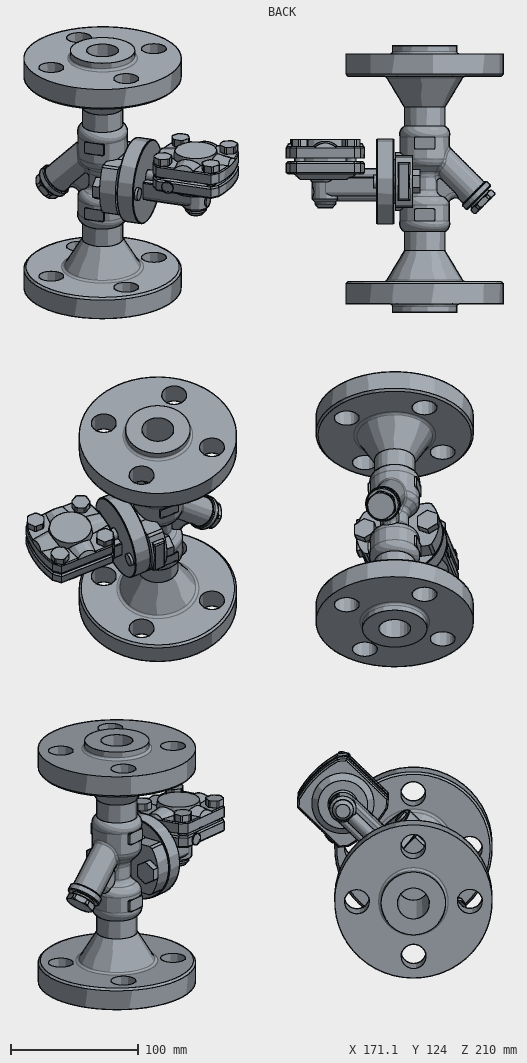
import cadquery as cq
import math


overall_height = 210
flange_dia = 124
raised_face_dia = 50.8
raised_face_height = 6.6
raised_face_fillet = 2
flange_thickness = 17.7
flange_chamfer = 1.7
bolt_circle_dia = 88.9
bolt_hole_dia = 19.5
bolt_hole_count = 4
hub_base_dia = 59.5
hub_base_fillet = 2.5
hub_top_z = 56.5
neck_dia = 32
bore_dia = 25

hex_turn = 30

body_dia = 39
body_end_z = 41.5
body_end_round_z = 33.2
body_end_round_mid = (19.2, 38)
waist_dia = 22
upper_round_start_z = 15.7
upper_round_end = (17.2, 10.2)
upper_cone_end = (13, 6)
upper_waist_z = 1.5
lower_waist_z = -8.7
lower_curve_joint = (14.6, -13.7)
lower_curve_end_z = -20.5
pad_width = 16.3
pad_height = 9.7
pad_center_z = 28.3
pad_corner = 1.5

strainer_axis_z = 27.8
strainer_angle = 45
strainer_dia = 23.6
strainer_root_fillet = 3
collar_dia = 27
collar_start = 54.6
collar_length = 5.8
collar_chamfer = 0.8
plug_hex_flats = 21
plug_hex_corners = 23
plug_hex_height = 5
plug_neck_dia = 19
plug_gap = 1.9
plug_chamfer = 0.8
web_thickness = 11
web_round = 4.5
web_arc_radius = 6
web_arc_x = -24.4
web_arc_z = -21

joint_z = -2
joint_flange_dia = 67
body_flange_x = 9.8
body_flange_thickness = 13.3
body_flange_height = 40.8
body_flange_corner = 1.5
body_boss_dia = 45.8
gasket_dia = 35
gasket_thickness = 1.2
trap_flange_x = body_flange_x + body_flange_thickness + gasket_thickness
trap_flange_thickness = 13.6
trap_flange_chamfer = 0.6
joint_bolt_spacing = 51
joint_bolt_dia = 10
joint_bolt_flats = 16
joint_bolt_head = 6
joint_bolt_tip = 2.3
badge_width = 9.5
badge_height = 29.7
badge_face_y = 34
badge_depth = 8
badge_chamfer = 1

trap_x = 78.2
plate_half_length = 30.9
plate_half_width = 27.8
plate_corner_x = 27.8
plate_corner_y = 22
plate_side_x = 22.9
lower_plate_z = 3.9
lower_plate_thickness = 9.7
lower_plate_chamfer = 1.3
plate_gap = 2.7
cover_z = lower_plate_z + lower_plate_thickness + plate_gap
cover_thickness = 9.1
cover_chamfer = 0.9
cover_top = cover_z + cover_thickness
cap_dia = 33
cap_base_dia = 35
cap_top_z = 31.1
rib_radius = 12.5
rib_top_z = 30.4
rib_start = 12
rib_slope = 9
rib_end_slope = 30
cover_bolt_offset = 20.2
cover_bolt_dia = 8
cover_bolt_flats = 13
cover_bolt_round = 14.2
cover_bolt_top = 31.2
cover_gasket_dia = 45.8
bowl_top_dia = 49
bowl_bottom_dia = 39
bowl_bottom_z = -0.6
button_dia = 9.5
button_x = 64.9
button_z = 8.7
button_height = 1

column_dia = 21
column_flare_dia = 23.5
column_flare_z = -2.6
arm_top_z = 1.6
arm_bottom_z = -13.6
arm_bottom_round = 2.5
arm_keel_dia = 10.5
arm_keel_z = -12.2
arm_top_round = 0.7
inlet_dia = 9.5
inlet_z = 3.3
column_cone_z = -15.8
column_step_dia = 16.6
column_step_z = -18
column_step_end_z = -19.6
column_tip_dia = 11.2
column_tip_z = -22.8
side_plug_dia = 10.5
side_plug_z = -10.3
side_plug_reach = 10.6


def cylinder_x(diameter, x_start, length, y=0, z=0):
    return cq.Workplane("YZ", origin=(x_start, y, z)).circle(diameter / 2).extrude(length)


def hexagon(plane, flats):
    return plane.polygon(6, flats / math.cos(math.pi / 6))


def pipe_flange():
    """Upper flange with raised face and tapered hub, down to the end of the neck."""
    face_z = overall_height / 2
    top_z = face_z - raised_face_height
    bottom_z = top_z - flange_thickness
    radius = flange_dia / 2
    raised_radius = raised_face_dia / 2
    hub_radius = hub_base_dia / 2
    flange = (
        cq.Workplane("XZ")
        .moveTo(0, face_z)
        .lineTo(raised_radius, face_z)
        .lineTo(raised_radius, top_z + raised_face_fillet)
        .tangentArcPoint((raised_radius + raised_face_fillet, top_z), relative=False)
        .lineTo(radius, top_z)
        .lineTo(radius, bottom_z + flange_chamfer)
        .lineTo(radius - flange_chamfer, bottom_z)
        .lineTo(hub_radius + hub_base_fillet, bottom_z)
        .tangentArcPoint((hub_radius, bottom_z - hub_base_fillet / 2), relative=False)
        .lineTo(neck_dia / 2, hub_top_z)
        .lineTo(neck_dia / 2, body_end_z)
        .lineTo(0, body_end_z)
        .close()
        .revolve(360, (0, 0, 0), (0, 1, 0))
    )
    holes = (
        cq.Workplane("XY", origin=(0, 0, bottom_z))
        .polarArray(bolt_circle_dia / 2, 180 / bolt_hole_count, 360, bolt_hole_count)
        .circle(bolt_hole_dia / 2)
        .extrude(flange_thickness)
    )
    bore = (
        cq.Workplane("XY", origin=(0, 0, body_end_z))
        .circle(bore_dia / 2)
        .extrude(face_z - body_end_z)
    )
    return flange.cut(holes).cut(bore)


def body_core():
    """Turned body: two barrels with rounded ends joined by a waist."""
    radius = body_dia / 2
    waist = waist_dia / 2
    neck = neck_dia / 2
    return (
        cq.Workplane("XZ")
        .moveTo(0, -body_end_z)
        .lineTo(neck, -body_end_z)
        .threePointArc((body_end_round_mid[0], -body_end_round_mid[1]), (radius, -body_end_round_z))
        .lineTo(radius, lower_curve_end_z)
        .tangentArcPoint(lower_curve_joint, relative=False)
        .tangentArcPoint((waist, lower_waist_z), relative=False)
        .lineTo(waist, upper_waist_z)
        .tangentArcPoint(upper_cone_end, relative=False)
        .lineTo(*upper_round_end)
        .tangentArcPoint((radius, upper_round_start_z), relative=False)
        .lineTo(radius, body_end_round_z)
        .threePointArc(body_end_round_mid, (neck, body_end_z))
        .lineTo(0, body_end_z)
        .close()
        .revolve(360, (0, 0, 0), (0, 1, 0))
    )


def body_pads():
    """Flat wrench pads on both sides of each barrel."""
    pads = cq.Workplane("XY").pushPoints([(0, 0, pad_center_z), (0, 0, -pad_center_z)])
    return pads.box(pad_width, body_dia, pad_height, combine=False).edges("|Y").fillet(pad_corner)


def strainer_plane():
    """Plane across the strainer axis, starting on the pipe axis and facing down the tube."""
    tilt = math.radians(strainer_angle)
    direction = (-math.sin(tilt), 0, -math.cos(tilt))
    return cq.Plane(origin=(0, 0, strainer_axis_z), xDir=(0, 1, 0), normal=direction)


def strainer_tube():
    return cq.Workplane(strainer_plane()).circle(strainer_dia / 2).extrude(collar_start)


def body_with_strainer_tube():
    """Body core joined to the leaning tube, with a fillet around the tube root."""
    joined = body_core().union(strainer_tube())
    root = joined.edges("%BSPLINE")
    return root.fillet(strainer_root_fillet)


def strainer_end():
    """Collar and hexagon plug at the lower end of the strainer tube."""
    axis = strainer_plane()
    collar_end = collar_start + collar_length
    plug_start = collar_end + plug_gap
    collar = (
        cq.Workplane(axis)
        .workplane(offset=collar_start)
        .circle(collar_dia / 2)
        .extrude(collar_length)
        .edges()
        .chamfer(collar_chamfer)
    )
    neck = (
        cq.Workplane(axis)
        .workplane(offset=collar_end)
        .circle(plug_neck_dia / 2)
        .extrude(plug_gap)
    )
    plug_plane = cq.Workplane(axis).workplane(offset=plug_start).transformed(rotate=(0, 0, hex_turn))
    plug_hex = hexagon(plug_plane, plug_hex_flats).extrude(plug_hex_height)
    plug_round = (
        cq.Workplane(axis)
        .workplane(offset=plug_start)
        .circle(plug_hex_corners / 2)
        .extrude(plug_hex_height)
        .edges()
        .chamfer(plug_chamfer)
    )
    return collar.union(neck).union(plug_hex.intersect(plug_round))


def strainer_web():
    """Web between the strainer tube and the lower barrel, with a concave lower edge."""
    outer_x = web_arc_x - web_arc_radius
    web = (
        cq.Workplane("XZ")
        .polyline([
            (0, web_arc_z),
            (outer_x, web_arc_z),
            (outer_x, strainer_axis_z + outer_x / math.tan(math.radians(strainer_angle))),
            (0, strainer_axis_z),
        ])
        .close()
        .extrude(web_thickness / 2, both=True)
    )
    relief = (
        cq.Workplane("XZ", origin=(web_arc_x, 0, web_arc_z))
        .circle(web_arc_radius)
        .extrude(web_thickness / 2, both=True)
    )
    return web.cut(relief).edges("%CIRCLE").fillet(web_round)


def body_flange():
    """Round flange on the +X side with flats above and below, a central boss and the gasket face."""
    slab = (
        cq.Workplane("XY")
        .box(body_flange_thickness, joint_flange_dia, body_flange_height, centered=(False, True, True))
        .translate((body_flange_x, 0, joint_z))
    )
    disc = cylinder_x(joint_flange_dia, body_flange_x, body_flange_thickness, z=joint_z)
    corners = disc.intersect(slab).edges("|X").chamfer(body_flange_corner)
    boss = cylinder_x(body_boss_dia, body_flange_x, body_flange_thickness, z=joint_z)
    gasket = cylinder_x(gasket_dia, body_flange_x + body_flange_thickness, gasket_thickness, z=joint_z)
    return corners.union(boss).union(gasket)


def badge():
    """Raised nameplate block on the +Y rim of the body flange."""
    return (
        cq.Workplane("XY")
        .box(badge_width, badge_depth, badge_height)
        .faces(">Y")
        .chamfer(badge_chamfer)
        .translate((
            body_flange_x + body_flange_thickness / 2,
            badge_face_y - badge_depth / 2,
            joint_z,
        ))
    )


def joint_bolt(side):
    """Bolt with its head on the body flange and its tip beyond the trap flange."""
    y = side * joint_bolt_spacing / 2
    head_plane = cq.Workplane("YZ", origin=(body_flange_x - joint_bolt_head, y, joint_z))
    head = hexagon(head_plane.transformed(rotate=(0, 0, hex_turn)), joint_bolt_flats).extrude(joint_bolt_head)
    tip_x = trap_flange_x + trap_flange_thickness + joint_bolt_tip
    shank = cylinder_x(joint_bolt_dia, body_flange_x, tip_x - body_flange_x, y, joint_z)
    return head.union(shank)


def make_valve_body():
    upper = pipe_flange()
    body = body_with_strainer_tube().union(upper).union(upper.mirror("XY"))
    body = body.union(body_pads()).union(strainer_end()).union(strainer_web())
    body = body.union(body_flange()).union(badge())
    for side in (-1, 1):
        body = body.union(joint_bolt(side))
    return body


def plate_outline(bottom_z, thickness, taper=0):
    """Square plate with cut corners and bowed ends."""
    return (
        cq.Workplane("XY", origin=(trap_x, 0, bottom_z))
        .moveTo(-plate_side_x, -plate_half_width)
        .lineTo(plate_side_x, -plate_half_width)
        .lineTo(plate_corner_x, -plate_corner_y)
        .threePointArc((plate_half_length, 0), (plate_corner_x, plate_corner_y))
        .lineTo(plate_side_x, plate_half_width)
        .lineTo(-plate_side_x, plate_half_width)
        .lineTo(-plate_corner_x, plate_corner_y)
        .threePointArc((-plate_half_length, 0), (-plate_corner_x, -plate_corner_y))
        .close()
        .extrude(thickness, taper=taper)
    )


def trap_flange():
    """Round flange against the gasket, with the holes for the two joint bolts."""
    disc = (
        cylinder_x(joint_flange_dia, trap_flange_x, trap_flange_thickness, z=joint_z)
        .edges()
        .chamfer(trap_flange_chamfer)
    )
    for side in (-1, 1):
        y = side * joint_bolt_spacing / 2
        disc = disc.cut(cylinder_x(joint_bolt_dia, trap_flange_x, trap_flange_thickness, y, joint_z))
    return disc


def trap_arm():
    """Arm from the flange to the column, with a round keel below and the inlet tube above."""
    start_x = trap_flange_x + trap_flange_thickness
    length = trap_x - start_x
    arm = (
        cq.Workplane("XY")
        .box(length, column_dia, arm_top_z - arm_bottom_z, centered=(False, True, False))
        .edges("|X and <Z")
        .fillet(arm_bottom_round)
        .edges("|X and >Z")
        .chamfer(arm_top_round)
        .translate((start_x, 0, arm_bottom_z))
    )
    keel = cylinder_x(arm_keel_dia, start_x, length, z=arm_keel_z)
    inlet = cylinder_x(inlet_dia, start_x, length, z=inlet_z)
    return arm.union(keel).union(inlet)


def trap_column():
    """Turned bowl under the lower plate and the stepped column below it."""
    column = (
        cq.Workplane("XZ")
        .polyline([
            (0, lower_plate_z),
            (bowl_top_dia / 2, lower_plate_z),
            (bowl_bottom_dia / 2, bowl_bottom_z),
            (column_flare_dia / 2, bowl_bottom_z),
            (column_dia / 2, column_flare_z),
            (column_dia / 2, column_cone_z),
            (column_step_dia / 2, column_step_z),
            (column_step_dia / 2, column_step_end_z),
            (column_tip_dia / 2, column_tip_z),
            (0, column_tip_z),
        ])
        .close()
        .revolve(360, (0, 0, 0), (0, 1, 0))
        .translate((trap_x, 0, 0))
    )
    return column.union(cylinder_x(side_plug_dia, trap_x, side_plug_reach, z=side_plug_z))


def lower_plate():
    """Lower plate with its round button on the -Y side and the gasket on top."""
    plate = plate_outline(lower_plate_z, lower_plate_thickness).faces("<Z or >Z").chamfer(lower_plate_chamfer)
    button = (
        cq.Workplane("XZ", origin=(button_x, -plate_half_width, button_z))
        .circle(button_dia / 2)
        .extrude(button_height)
    )
    gasket = (
        cq.Workplane("XY", origin=(trap_x, 0, cover_z - plate_gap))
        .circle(cover_gasket_dia / 2)
        .extrude(plate_gap)
    )
    return plate.union(button).union(gasket)


def cover_ribs():
    """Four humps falling from the central cap to the plate edges, trimmed to the plate outline."""
    slope = math.radians(rib_slope)
    direction = (math.cos(slope), 0, -math.sin(slope))
    start = (rib_start, 0, rib_top_z - rib_radius / math.cos(slope))
    rod = cq.Workplane(cq.Plane(origin=start, xDir=(0, 1, 0), normal=direction))
    rod = rod.circle(rib_radius).extrude(plate_half_length).translate((trap_x, 0, 0))
    envelope = plate_outline(cover_top - cover_chamfer, cap_top_z - cover_top, taper=rib_end_slope)
    ribs = cq.Workplane("XY")
    for quarter in range(4):
        rib = rod.rotate((trap_x, 0, 0), (trap_x, 0, 1), 90 * quarter)
        ribs = ribs.add(rib.intersect(envelope))
    return ribs.combine()


def cover():
    """Cover plate with the drafted central cap and its ribs."""
    plate = plate_outline(cover_z, cover_thickness).faces(">Z").chamfer(cover_chamfer)
    cap = (
        cq.Workplane("XY", origin=(trap_x, 0, cover_top))
        .circle(cap_base_dia / 2)
        .workplane(offset=cap_top_z - cover_top)
        .circle(cap_dia / 2)
        .loft()
    )
    return plate.union(cover_ribs()).union(cap)


def cover_bolt(x_side, y_side):
    """Hexagon bolt whose shank bridges the gap between the plates; diagonal pairs are turned alike."""
    x = trap_x + x_side * cover_bolt_offset
    y = y_side * cover_bolt_offset
    head_height = cover_bolt_top - cover_top
    turn = hex_turn if x_side == y_side else 0
    head_plane = cq.Workplane("XY", origin=(x, y, cover_top)).transformed(rotate=(0, 0, turn))
    head = hexagon(head_plane, cover_bolt_flats).extrude(head_height)
    crown = (
        cq.Workplane("XY", origin=(x, y, cover_top))
        .circle(cover_bolt_round / 2)
        .extrude(head_height)
    )
    shank = (
        cq.Workplane("XY", origin=(x, y, lower_plate_z))
        .circle(cover_bolt_dia / 2)
        .extrude(cover_top - lower_plate_z)
    )
    return head.intersect(crown).union(shank)


def make_trap():
    trap = trap_flange().union(trap_arm()).union(trap_column())
    trap = trap.union(lower_plate()).union(cover())
    for x_side in (-1, 1):
        for y_side in (-1, 1):
            trap = trap.union(cover_bolt(x_side, y_side))
    return trap


valve_body = make_valve_body()
trap = make_trap()
result = cq.Compound.makeCompound([valve_body.solids().val(), trap.solids().val()])